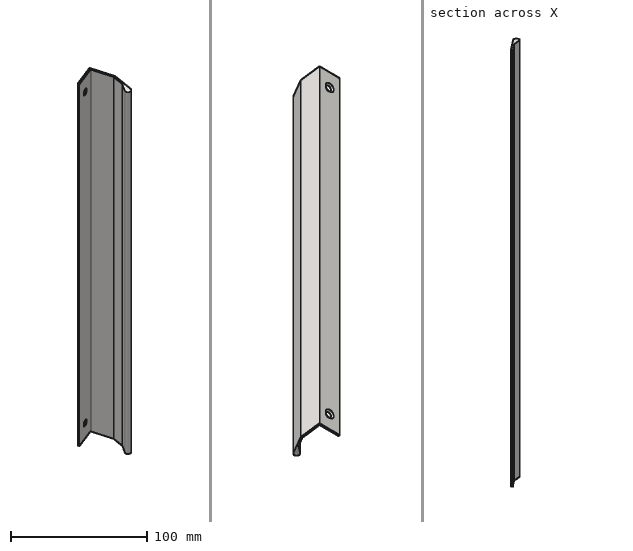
import cadquery as cq
import math

length = 350.0
width = 38.94
leg_height = 20.0
wall = 1.5
corner_fillet = 0.5
inner_bend_x = 20.5
arm_angle = math.radians(25.0)
bulb_radius = 2.5
thin_arm_length = 10.0

countersink_diameter = 8.0
hole_end_distance = 15.0

along = (math.cos(arm_angle), -math.sin(arm_angle))
outward = (math.sin(arm_angle), math.cos(arm_angle))


def on_bulb(angle):
    """Point of the bulb circle at an angle measured from +X."""
    return (
        bulb_center[0] + bulb_radius * math.cos(angle),
        bulb_center[1] + bulb_radius * math.sin(angle),
    )


flange_length = inner_bend_x + wall * math.tan(arm_angle / 2)

bulb_center_x = width - bulb_radius
arm_length = (bulb_center_x + bulb_radius * outward[0] - flange_length) / along[0]
upper_tangent = (flange_length + arm_length * along[0], arm_length * along[1])
bulb_center = (bulb_center_x, upper_tangent[1] - bulb_radius * outward[1])

inner_bend = (inner_bend_x, -wall)
flare_point = (
    inner_bend[0] + thin_arm_length * along[0],
    inner_bend[1] + thin_arm_length * along[1],
)

to_flare_x = flare_point[0] - bulb_center[0]
to_flare_y = flare_point[1] - bulb_center[1]
flare_distance = math.hypot(to_flare_x, to_flare_y)
lower_tangent_angle = math.atan2(to_flare_y, to_flare_x) + math.acos(bulb_radius / flare_distance)
lower_tangent = on_bulb(lower_tangent_angle)


def make_profile():
    """Angle section with a bent arm that ends in a rounded bulb."""
    return (
        cq.Workplane("XY")
        .moveTo(0, -leg_height)
        .lineTo(0, 0)
        .lineTo(flange_length, 0)
        .lineTo(*upper_tangent)
        .threePointArc(on_bulb(0), lower_tangent)
        .lineTo(*flare_point)
        .lineTo(*inner_bend)
        .lineTo(wall + corner_fillet, -wall)
        .radiusArc((wall, -wall - corner_fillet), -corner_fillet)
        .lineTo(wall, -leg_height)
        .close()
        .extrude(length)
    )


def make_countersink(z):
    """90 degree countersink, as deep as the leg is thick, centred at height z."""
    large_radius = countersink_diameter / 2
    small_radius = large_radius - wall
    return cq.Workplane(
        cq.Solid.makeCone(
            large_radius,
            small_radius,
            wall,
            pnt=cq.Vector(0, -leg_height / 2, z),
            dir=cq.Vector(1, 0, 0),
        )
    )


def cut_screw_holes(body):
    """Countersunk holes through the leg, one near each end."""
    for z in (hole_end_distance, length - hole_end_distance):
        body = body.cut(make_countersink(z))
    return body


result = cut_screw_holes(make_profile())